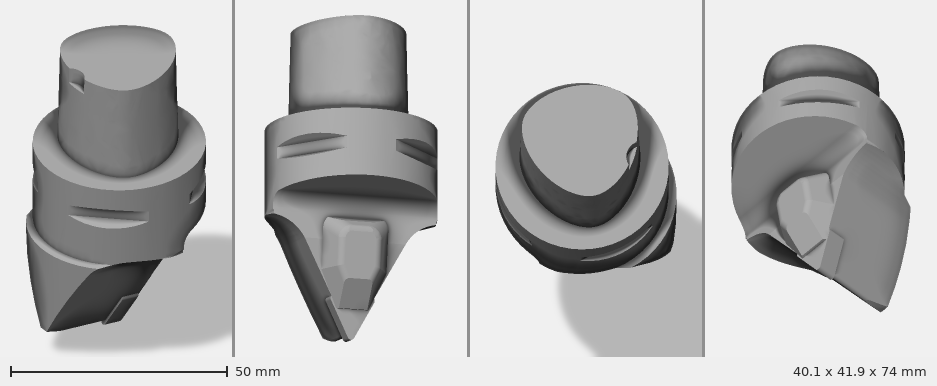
import cadquery as cq
import math

FLANGE_DIAMETER = 40.0
FLANGE_RADIUS = FLANGE_DIAMETER / 2
FLANGE_HEIGHT = 20.95

SHANK_HEIGHT = 24.0
SHANK_MEAN_RADIUS = 14.0
LOBE_HEIGHT = 0.9
TAPER_PER_SIDE = 1 / 40
NOTCH_RADIUS = 3.8
NOTCH_DEPTH = 4.0
NOTCH_FLOOR_Y = -10.95

GROOVE_COUNT = 4
GROOVE_FLAT_DISTANCE = 17.7
GROOVE_MID_Z = -8.15
GROOVE_FLOOR_WIDTH = 2.75
GROOVE_MOUTH_WIDTH = 5.25

NOSE_RADIUS = 20.1
NOSE_SHIFT_Y = -1.8
LEDGE_HEIGHT = 0.45
NOSE_BOTTOM_Z = -53.3
FRONT_Y = 3.9
RELIEF_RIM_Z = -16.05
RELIEF_CORNER_Z = -17.5
RELIEF_FILLET = 3.25

TIP_Y = -0.1
TIP_Z = -50.0
RAKE_ANGLE = 10
WEDGE_HALF_ANGLE = math.radians(28)
WEDGE_APEX_V = 0.4
WEDGE_TIP_RADIUS = 0.75
SCOOP_START_V = 22.95
SCOOP_RADIUS = 10.1
TOE_START_Y = -13.3
TOE_START_Z = -46.8
TOE_MIDDLE_Y = -17.75
TOE_MIDDLE_Z = -45.35
TOE_END_Z = -43.6
CLEAR = 33.3

INSERT_HALF_ANGLE = math.radians(27.5)
INSERT_SIDE = 11.6
INSERT_THICKNESS = 4.7
INSERT_CORNER_RADIUS = 0.8

CLAMP_HALF_WIDTH = 7.8
CLAMP_SHOULDER_V = 15.9
CLAMP_PLAN_ANGLE = math.radians(24)
CLAMP_BLANK_EXTRA = 0.75
CLAMP_TOP_V = 28.1
CLAMP_BOTTOM_V = 7.1
CLAMP_HEIGHT = 5.4
CLAMP_SIDE_DRAFT = 30
CLAMP_TOE_HEIGHT = 0.75
CLAMP_CREST_LOW_V = 13.7
CLAMP_CREST_HIGH_V = 24.7
CLAMP_BACK_V = 27.1
CLAMP_BACK_HEIGHT = 3.4
CLAMP_CORNER_RADIUS = 3.7
CLAMP_EDGE_FILLET = 1.85
CLAMP_CREST_BULGE = 0.3

rake = math.radians(RAKE_ANGLE)
cutting_plane = cq.Plane(
    origin=(0, TIP_Y, TIP_Z),
    xDir=(-1, 0, 0),
    normal=(0, math.cos(rake), -math.sin(rake)),
)


def lobed_outline(mean_radius):
    """Point function of a three-lobed curve of constant width, one lobe toward +Y."""

    def point(t):
        angle = 2 * math.pi * t
        lobe_angle = 3 * (angle - math.pi / 2)
        support = mean_radius + LOBE_HEIGHT * math.cos(lobe_angle)
        slope = -3 * LOBE_HEIGHT * math.sin(lobe_angle)
        return (
            support * math.cos(angle) - slope * math.sin(angle),
            support * math.sin(angle) + slope * math.cos(angle),
        )

    return point


def make_shank():
    top_radius = SHANK_MEAN_RADIUS - TAPER_PER_SIDE * SHANK_HEIGHT
    shank = (
        cq.Workplane("XY")
        .parametricCurve(lobed_outline(SHANK_MEAN_RADIUS))
        .workplane(offset=SHANK_HEIGHT)
        .parametricCurve(lobed_outline(top_radius))
        .loft(ruled=True)
    )
    notch = (
        cq.Workplane("XY", origin=(0, NOTCH_FLOOR_Y - NOTCH_RADIUS, SHANK_HEIGHT - NOTCH_DEPTH))
        .circle(NOTCH_RADIUS)
        .extrude(NOTCH_DEPTH)
    )
    return shank.cut(notch)


def make_groove_cutter(angle):
    """Groove with a flat floor and sloping walls, straight across the flange rim."""
    depth = FLANGE_RADIUS - GROOVE_FLAT_DISTANCE
    half_floor = GROOVE_FLOOR_WIDTH / 2
    half_mouth = GROOVE_MOUTH_WIDTH / 2
    return (
        cq.Workplane("XZ", origin=(GROOVE_FLAT_DISTANCE, 0, GROOVE_MID_Z))
        .polyline([(0, -half_floor), (depth, -half_mouth), (depth, half_mouth), (0, half_floor)])
        .close()
        .extrude(FLANGE_RADIUS, both=True)
        .rotate((0, 0, 0), (0, 0, 1), angle)
    )


def make_flange():
    flange = cq.Workplane("XY").circle(FLANGE_RADIUS).extrude(-FLANGE_HEIGHT)
    for index in range(GROOVE_COUNT):
        flange = flange.cut(make_groove_cutter(45 + index * 360 / GROOVE_COUNT))
    return flange


def make_nose_blank():
    """Offset cylinder below the flange, joined to it by a thin sloping ledge."""
    ledge_bottom_z = -FLANGE_HEIGHT - LEDGE_HEIGHT
    ledge = (
        cq.Workplane("XY", origin=(0, 0, -FLANGE_HEIGHT))
        .circle(FLANGE_RADIUS)
        .workplane(offset=-LEDGE_HEIGHT)
        .center(0, NOSE_SHIFT_Y)
        .circle(NOSE_RADIUS)
        .loft(ruled=True)
    )
    cylinder = (
        cq.Workplane("XY", origin=(0, NOSE_SHIFT_Y, ledge_bottom_z))
        .circle(NOSE_RADIUS)
        .extrude(NOSE_BOTTOM_Z - ledge_bottom_z)
    )
    return ledge.union(cylinder)


def make_front_cutter():
    """Everything in front of the cutting face, up to the sloping flange underside."""
    bend_z = TIP_Z + (FRONT_Y - TIP_Y) / math.tan(rake)
    bottom_y = TIP_Y + (NOSE_BOTTOM_Z - TIP_Z) * math.tan(rake)
    rim_slope = (RELIEF_RIM_Z - RELIEF_CORNER_Z) / (FLANGE_RADIUS - FRONT_Y)
    outer_z = RELIEF_CORNER_Z + rim_slope * (CLEAR - FRONT_Y)
    profile = [
        (FRONT_Y, RELIEF_CORNER_Z),
        (FRONT_Y, bend_z),
        (bottom_y, NOSE_BOTTOM_Z),
        (CLEAR, NOSE_BOTTOM_Z),
        (CLEAR, outer_z),
    ]
    return (
        cq.Workplane("YZ")
        .polyline(profile)
        .close()
        .extrude(CLEAR, both=True)
        .edges(cq.selectors.NearestToPointSelector((0, FRONT_Y, RELIEF_CORNER_Z)))
        .fillet(RELIEF_FILLET)
    )


def make_flank_cutter():
    """Leaves a V-shaped wedge with a rounded tip and a concave scoop above each flank."""
    start_x = (SCOOP_START_V - WEDGE_APEX_V) * math.tan(WEDGE_HALF_ANGLE)
    turn = math.pi / 2 - WEDGE_HALF_ANGLE
    end_x = start_x + SCOOP_RADIUS * math.sin(turn)
    end_v = SCOOP_START_V + SCOOP_RADIUS * (1 - math.cos(turn))
    mid_x = end_x - SCOOP_RADIUS * math.sin(turn / 2)
    mid_v = end_v - SCOOP_RADIUS * (1 - math.cos(turn / 2))
    tip_center_v = WEDGE_APEX_V + WEDGE_TIP_RADIUS / math.sin(WEDGE_HALF_ANGLE)
    tangent_x = WEDGE_TIP_RADIUS * math.cos(WEDGE_HALF_ANGLE)
    tangent_v = tip_center_v - WEDGE_TIP_RADIUS * math.sin(WEDGE_HALF_ANGLE)
    return (
        cq.Workplane(cutting_plane)
        .moveTo(-CLEAR, end_v)
        .lineTo(-end_x, end_v)
        .threePointArc((-mid_x, mid_v), (-start_x, SCOOP_START_V))
        .lineTo(-tangent_x, tangent_v)
        .threePointArc((0, tip_center_v - WEDGE_TIP_RADIUS), (tangent_x, tangent_v))
        .lineTo(start_x, SCOOP_START_V)
        .threePointArc((mid_x, mid_v), (end_x, end_v))
        .lineTo(CLEAR, end_v)
        .lineTo(CLEAR, -CLEAR)
        .lineTo(-CLEAR, -CLEAR)
        .close()
        .extrude(CLEAR, both=True)
    )


def make_toe_cutter():
    """Curved relief rising toward the back end of the wedge tip."""
    back_y = NOSE_SHIFT_Y - NOSE_RADIUS
    return (
        cq.Workplane("YZ")
        .moveTo(TOE_START_Y, TOE_START_Z)
        .threePointArc((TOE_MIDDLE_Y, TOE_MIDDLE_Z), (back_y, TOE_END_Z))
        .lineTo(back_y, NOSE_BOTTOM_Z)
        .lineTo(TOE_START_Y, NOSE_BOTTOM_Z)
        .close()
        .extrude(CLEAR, both=True)
    )


def make_clamp():
    """Pointed clamp: plan outline on the cutting face, trimmed by its side profile."""
    blank_bottom_v = CLAMP_BOTTOM_V - CLAMP_BLANK_EXTRA
    blank_top_v = CLAMP_TOP_V + CLAMP_BLANK_EXTRA
    taper_length = CLAMP_SHOULDER_V - blank_bottom_v
    toe_half_width = CLAMP_HALF_WIDTH - taper_length * math.tan(CLAMP_PLAN_ANGLE)
    plan = [
        (-toe_half_width, blank_bottom_v),
        (toe_half_width, blank_bottom_v),
        (CLAMP_HALF_WIDTH, CLAMP_SHOULDER_V),
        (CLAMP_HALF_WIDTH, blank_top_v),
        (-CLAMP_HALF_WIDTH, blank_top_v),
        (-CLAMP_HALF_WIDTH, CLAMP_SHOULDER_V),
    ]
    blank = cq.Workplane(cutting_plane).polyline(plan).close().extrude(CLAMP_HEIGHT, taper=CLAMP_SIDE_DRAFT)
    inset = CLAMP_HEIGHT / 2 * math.tan(math.radians(CLAMP_SIDE_DRAFT))
    corner_x = CLAMP_HALF_WIDTH - inset
    corner_v = blank_top_v - inset
    top_corners = [
        cq.selectors.NearestToPointSelector(
            cutting_plane.toWorldCoords((side * corner_x, corner_v, CLAMP_HEIGHT / 2)).toTuple()
        )
        for side in (-1, 1)
    ]
    blank = blank.edges(top_corners[0] + top_corners[1]).fillet(CLAMP_CORNER_RADIUS)
    blank = blank.faces(cq.selectors.DirectionMinMaxSelector(cutting_plane.zDir)).edges().fillet(CLAMP_EDGE_FILLET)

    side_plane = cq.Plane(origin=cutting_plane.origin, xDir=cutting_plane.yDir, normal=(-1, 0, 0))
    crest_middle_v = (CLAMP_CREST_HIGH_V + CLAMP_BACK_V) / 2 + CLAMP_CREST_BULGE
    crest_middle_height = (CLAMP_HEIGHT + CLAMP_BACK_HEIGHT) / 2 + CLAMP_CREST_BULGE
    profile = (
        cq.Workplane(side_plane)
        .moveTo(CLAMP_BOTTOM_V, 0)
        .lineTo(CLAMP_BOTTOM_V, CLAMP_TOE_HEIGHT)
        .lineTo(CLAMP_CREST_LOW_V, CLAMP_HEIGHT)
        .lineTo(CLAMP_CREST_HIGH_V, CLAMP_HEIGHT)
        .threePointArc((crest_middle_v, crest_middle_height), (CLAMP_BACK_V, CLAMP_BACK_HEIGHT))
        .lineTo(CLAMP_TOP_V, 0)
        .close()
        .extrude(CLEAR, both=True)
    )
    return blank.intersect(profile)


def make_insert():
    """Rhombic prism with rounded corners, its top flush with the cutting face."""
    tip_overhang = INSERT_CORNER_RADIUS * (1 / math.sin(INSERT_HALF_ANGLE) - 1)
    half_length = INSERT_SIDE * math.cos(INSERT_HALF_ANGLE)
    half_width = INSERT_SIDE * math.sin(INSERT_HALF_ANGLE)
    middle_v = half_length - tip_overhang
    rhombus = [
        (0, middle_v - half_length),
        (half_width, middle_v),
        (0, middle_v + half_length),
        (-half_width, middle_v),
    ]
    return (
        cq.Workplane(cutting_plane)
        .polyline(rhombus)
        .close()
        .extrude(-INSERT_THICKNESS)
        .edges(cq.selectors.ParallelDirSelector(cutting_plane.zDir))
        .fillet(INSERT_CORNER_RADIUS)
    )


def make_holder(insert):
    """Shank, flange, wedge nose and clamp in one solid, with a pocket for the insert."""
    holder = make_flange().union(make_nose_blank())
    holder = holder.cut(make_front_cutter()).cut(make_flank_cutter()).cut(make_toe_cutter())
    return holder.union(make_shank()).union(make_clamp()).cut(insert)


insert = make_insert()
holder = make_holder(insert)

result = cq.Compound.makeCompound([holder.solids().val(), insert.val()])